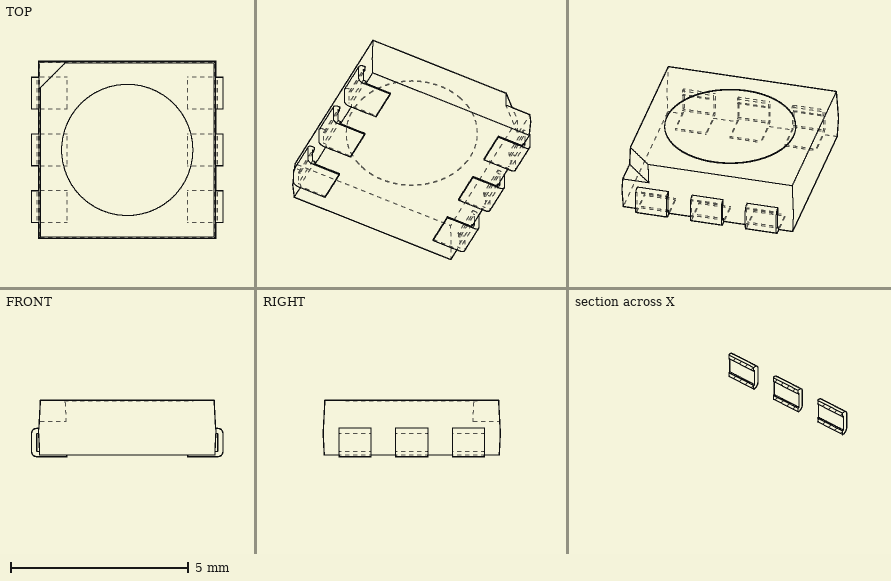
import cadquery as cq
import math

body_side = 5.0
draft_angle = 3.0
body_bottom_z = 0.05
parting_z = 0.655
body_top_z = 1.6

window_diameter = 3.7
window_depth = 0.02

notch_leg = 0.8
notch_depth = 0.6

lead_span = 5.4
lead_thickness = 0.15
lead_width = 0.9
lead_pitch = 1.6
lead_top_z = parting_z + lead_thickness
foot_length = 1.0
bend_radius = lead_thickness
leads_per_side = 3
shoulder_embed = 0.11


def make_half(end_z):
    """Half of the body, tapering from the parting plane to end_z."""
    height = abs(end_z - parting_z)
    end_side = body_side - 2 * height * math.tan(math.radians(draft_angle))
    return (
        cq.Workplane("XY")
        .workplane(offset=parting_z)
        .rect(body_side, body_side)
        .workplane(offset=end_z - parting_z)
        .rect(end_side, end_side)
        .loft(ruled=True)
    )


def make_window_recess():
    return (
        cq.Workplane("XY")
        .workplane(offset=body_top_z - window_depth)
        .circle(window_diameter / 2)
        .extrude(window_depth)
    )


def make_corner_notch():
    """Triangular cutter at the -X, +Y corner, with upright walls."""
    corner = body_side / 2
    return (
        cq.Workplane("XY")
        .workplane(offset=body_top_z - notch_depth)
        .moveTo(-corner, corner)
        .lineTo(-corner + notch_leg, corner)
        .lineTo(-corner, corner - notch_leg)
        .close()
        .extrude(notch_depth)
    )


def make_lead(y_center):
    """C-shaped lead on the -X side: shoulder into the body, upright, foot underneath."""
    outer_x = -lead_span / 2
    inner_x = outer_x + lead_thickness
    foot_end_x = outer_x + foot_length
    shoulder_end_x = -body_side / 2 + shoulder_embed
    strip = (
        cq.Workplane("XZ", origin=(0, y_center, 0))
        .moveTo(outer_x, 0)
        .lineTo(foot_end_x, 0)
        .lineTo(foot_end_x, lead_thickness)
        .lineTo(inner_x, lead_thickness)
        .lineTo(inner_x, parting_z)
        .lineTo(shoulder_end_x, parting_z)
        .lineTo(shoulder_end_x, lead_top_z)
        .lineTo(outer_x, lead_top_z)
        .close()
        .extrude(lead_width / 2, both=True)
    )
    return strip.edges("|Y and <X").fillet(bend_radius)


body = make_half(body_top_z).union(make_half(body_bottom_z))
result = body.cut(make_window_recess()).cut(make_corner_notch())

for index in range(leads_per_side):
    lead_y = (index - (leads_per_side - 1) / 2) * lead_pitch
    lead = make_lead(lead_y)
    result = result.union(lead).union(lead.mirror("YZ"))